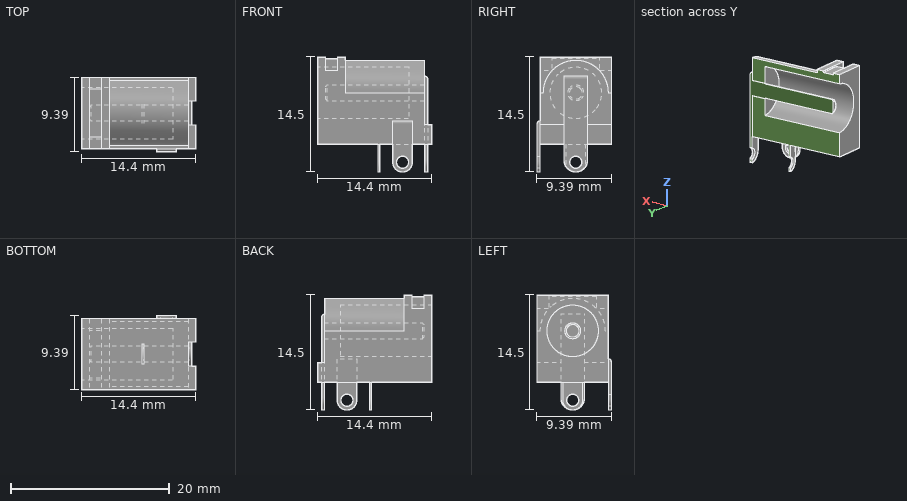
import cadquery as cq

housing_width = 9.0
housing_height = 11.0
collar_wall = 1.0
groove_width = 1.5
groove_depth = 1.7
key_width = 6.0
key_drop = 0.2
collar_length = 2 * collar_wall + groove_width
body_length = 13.5
foot_length = 0.9
foot_height = 2.5

axis_height = 6.5
barrel_diameter = 8.2
bore_diameter = 6.5
back_wall = 2.0
bore_depth = body_length - back_wall
pin_diameter = 2.0
pin_chamfer = 0.2
pin_tip_x = 1.0

tab_drop = 3.5
tab_hole_diameter = 1.5
tab_width = 2.5
tab_hole_z = tab_width / 2 - tab_drop
tab_thickness = 0.39
side_tab_x = 10.7
side_tab_top = 2.97
contact_x = 7.6
contact_thickness = 0.25
pin_tab_width = 3.0
pin_tab_top = 8.6


def block(x_start, length, width, z_bottom, height):
    """Box centred on Y = 0."""
    return (
        cq.Workplane("XY", origin=(x_start, 0, z_bottom))
        .box(length, width, height, centered=(False, True, False))
    )


def rod(x_start, length, diameter):
    """Cylinder on the common barrel axis."""
    return cq.Workplane("YZ", origin=(x_start, 0, axis_height)).circle(diameter / 2).extrude(length)


def tab(width, top, thickness):
    """Round-ended tab facing X, from X = 0 to its thickness, with a solder hole."""
    half_width = width / 2
    outline = (
        cq.Workplane("YZ")
        .moveTo(-half_width, top)
        .lineTo(-half_width, half_width - tab_drop)
        .threePointArc((0, -tab_drop), (half_width, half_width - tab_drop))
        .lineTo(half_width, top)
        .close()
        .extrude(thickness)
    )
    hole = cq.Workplane("YZ").center(0, tab_hole_z).circle(tab_hole_diameter / 2).extrude(thickness)
    return outline.cut(hole)


def bent_tab(width, top):
    """Tab whose upper outside edge is rounded over its whole thickness."""
    edge_start = top - tab_thickness
    bend = (
        cq.Workplane("XZ", origin=(0, width / 2, 0))
        .moveTo(0, edge_start)
        .lineTo(tab_thickness, edge_start)
        .radiusArc((0, top), -tab_thickness)
        .close()
        .extrude(width)
    )
    return tab(width, edge_start, tab_thickness).union(bend)


def make_housing():
    """Moulded shell with the side and bottom tabs fixed to it."""
    shell = block(0, collar_length, housing_width, 0, housing_height)
    shell = shell.union(block(0, body_length, housing_width, 0, axis_height))
    shell = shell.union(rod(0, body_length, barrel_diameter))

    foot = block(body_length, foot_length, housing_width, 0, foot_height)
    foot = foot.cut(block(body_length, foot_length, pin_tab_width, 0, foot_height))
    shell = shell.union(foot)

    groove_floor = housing_height - groove_depth
    shell = shell.cut(block(collar_wall, groove_width, housing_width, groove_floor, groove_depth))
    shell = shell.union(block(collar_wall, groove_width, key_width, groove_floor, groove_depth - key_drop))

    shell = shell.cut(rod(0, bore_depth, bore_diameter))
    shell = shell.cut(rod(bore_depth, back_wall, pin_diameter))

    side_tab = (
        bent_tab(tab_width, side_tab_top)
        .rotate((0, 0, 0), (0, 0, 1), -90)
        .translate((side_tab_x, -housing_width / 2, 0))
    )
    bottom_tab = tab(tab_width, 0, contact_thickness).translate((contact_x, 0, 0))
    return shell.union(side_tab).union(bottom_tab)


def make_centre_pin():
    """Chamfered pin running through the back wall into its own solder tab."""
    pin = rod(pin_tip_x, body_length - pin_tip_x, pin_diameter).faces("<X").chamfer(pin_chamfer)
    return pin.union(bent_tab(pin_tab_width, pin_tab_top).translate((body_length, 0, 0)))


housing = make_housing()
centre_pin = make_centre_pin()

result = cq.Compound.makeCompound([housing.val(), centre_pin.val()])